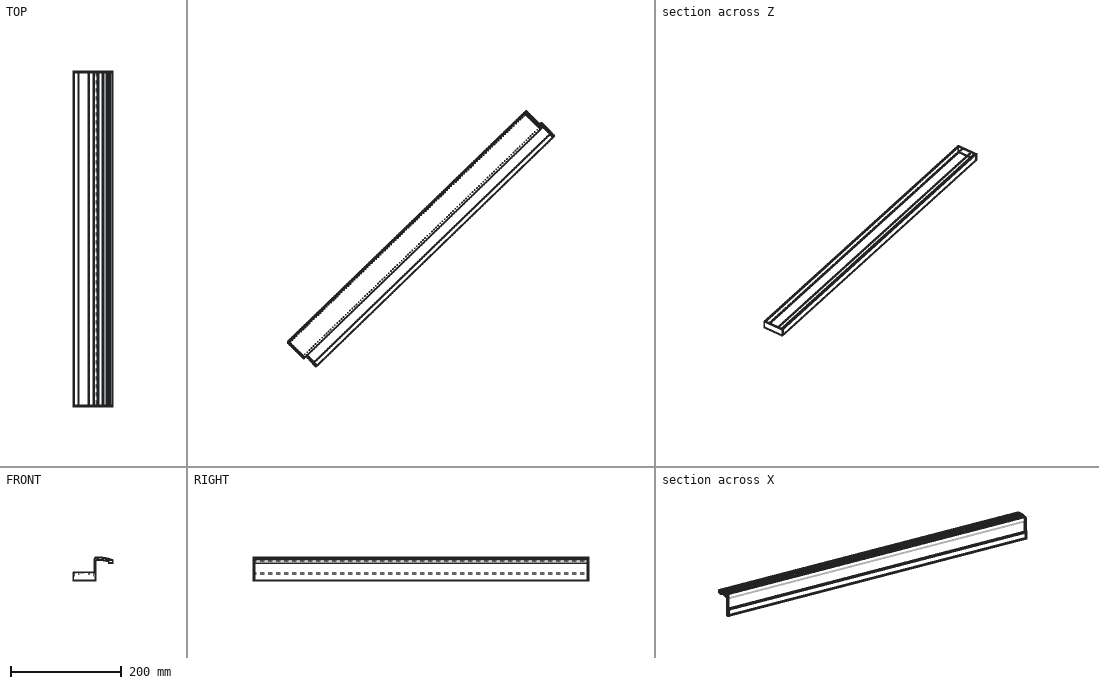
import cadquery as cq
import math


length = 606.0
total_depth = 72.0
total_height = 42.5
cap_thickness = 3.0

wall = 2.0
box_height = 15.0
web_back = 40.5
web_front = web_back - wall

cover_edge_height = 2.1
cover_skin = wall / 2
leg_thickness = cover_skin
leg_height = 3.0
leg_places = (9.0, 28.0)

outer_corner_radius = 5.0
inner_corner_radius = 2.5
tread_thickness = 5.5
nose_end_thickness = 5.0
tread_radius = 76.0
tread_start = web_front + outer_corner_radius
nose_inside = 64.0
nose_bottom = 31.5
nose_radius = 2.0

groove_centres = (45.0, 54.0, 61.0, 66.5)
groove_width = 2.5
groove_depth = 2.0

span_start = cap_thickness
span_length = length - 2 * cap_thickness
cover_bottom = box_height - cover_edge_height


def tread_point(x, depth=0.0):
    """Point on the curved tread surface at x, lowered by depth."""
    drop = tread_radius - math.sqrt(tread_radius**2 - (x - tread_start) ** 2)
    return x, total_height - drop - depth


def section_outline():
    """Outer section of the whole profile, counter-clockwise from the lower front corner."""
    underside_height = total_height - tread_thickness
    inner_corner = web_back + inner_corner_radius
    under_middle = (inner_corner + nose_inside) / 2
    nose_shoulder = total_depth - nose_radius
    nose_top = tread_point(nose_shoulder)

    outline = (
        cq.Workplane("XZ")
        .lineTo(web_back, 0)
        .lineTo(web_back, underside_height - inner_corner_radius)
        .radiusArc((inner_corner, underside_height), inner_corner_radius)
        .threePointArc(
            tread_point(under_middle, (tread_thickness + nose_end_thickness) / 2),
            tread_point(nose_inside, nose_end_thickness),
        )
        .lineTo(nose_inside, nose_bottom)
        .lineTo(total_depth, nose_bottom)
        .lineTo(total_depth, nose_top[1] - nose_radius)
        .radiusArc(nose_top, -nose_radius)
    )
    for centre in reversed(groove_centres):
        left = tread_point(centre - groove_width / 2)
        right = tread_point(centre + groove_width / 2)
        outline = outline.lineTo(*right).threePointArc(tread_point(centre, groove_depth), left)
    return (
        outline.lineTo(tread_start, total_height)
        .radiusArc((web_front, total_height - outer_corner_radius), -outer_corner_radius)
        .lineTo(web_front, box_height)
        .lineTo(cover_edge_height, box_height)
        .radiusArc((0, cover_bottom), -cover_edge_height)
        .close()
    )


def section_bar(start, bar_length):
    """Full outer section extruded along +Y from start."""
    return section_outline().extrude(-bar_length).translate((0, start, 0))


def inner_bar(x_min, x_max, z_min, z_max):
    """Rectangular bar that runs the span between the end caps."""
    return (
        cq.Workplane("XY")
        .box(x_max - x_min, span_length, z_max - z_min, centered=False)
        .translate((x_min, span_start, z_min))
    )


def make_profile():
    """Open-topped light box, web and grooved tread in one piece."""
    cover_seat = inner_bar(0, web_front, cover_bottom, box_height)
    light_channel = inner_bar(wall, web_front - wall, wall, box_height)
    return section_bar(span_start, span_length).cut(cover_seat).cut(light_channel)


def make_cover():
    """Thin cover with thick edges, a rounded front edge and two legs underneath."""
    cover_block = inner_bar(0, web_front, cover_bottom, box_height)
    skin_bottom = box_height - cover_skin
    hollow = inner_bar(wall, web_front - wall, cover_bottom, skin_bottom)
    cover = section_bar(span_start, span_length).intersect(cover_block).cut(hollow)
    for x in leg_places:
        cover = cover.union(inner_bar(x, x + leg_thickness, skin_bottom - leg_height, skin_bottom))
    return cover


def make_end_cap(start):
    """Flat plate with the full outer section, closing one end."""
    return section_bar(start, cap_thickness)


profile = make_profile()
cover = make_cover()
end_caps = [make_end_cap(start) for start in (0, length - cap_thickness)]

result = cq.Compound.makeCompound([profile.val(), cover.val(), *[cap.val() for cap in end_caps]])